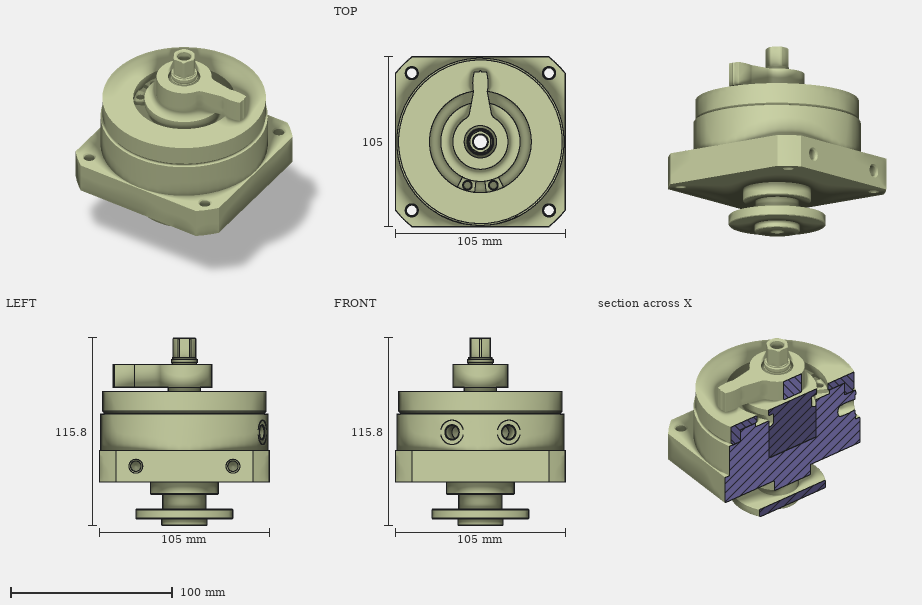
import cadquery as cq
import math


PLATE_SIDE = 105.0
PLATE_TOP = 19.6
PLATE_CORNER_DIA = 134.8
MOUNT_HOLE_PITCH = 84.8
MOUNT_HOLE_DIA = 6.6
MOUNT_COUNTERSINK_DIA = 8.1
SIDE_HOLE_PITCH = 60.0
SIDE_HOLE_DIA = 6.5
SIDE_COUNTERSINK_DIA = 8.6
SIDE_HOLE_DEPTH = 11.6
BOSS_DIA = 42.0
BOSS_HEIGHT = 7.6
EDGE_CHAMFER = 0.5

DRUM_DIA = 103.4
DRUM_TOP = 41.9
COLLAR_DIA = 86.8
COLLAR_TOP = 50.8
POCKET_DIA = 64.8
POCKET_FLOOR = 47.9
PORT_Z = 30.7
PORT_ANGLE = 20.0
PORT_DIA = 8.6
PORT_COUNTERSINK_DIA = 9.5
PORT_DEPTH = 11.6
SPOTFACE_DIA = 15.0
SPOTFACE_FLAT = 51.2
DRILL_POINT_ANGLE = 118.0

BLOCK_START_ANGLE = 6.5
BLOCK_END_ANGLE = 27.0
SCREW_CIRCLE_DIA = 56.0
SCREW_ANGLE = 16.6
SCREW_HOLE_DIA = 4.9
SCREW_COUNTERSINK_DIA = 5.9
SCREW_HOLE_DEPTH = 4.6

RING_DIA = 101.1
RING_BORE_DIA = 63.0
RING_NECK_DIA = 98.9
RING_NECK_TOP = 42.7
RING_TOP = 56.0
RING_CHAMFER_SHARE = 0.9

SHAFT_LENGTH = 115.8
SHAFT_BOTTOM = -26.9
SHAFT_TOP = SHAFT_BOTTOM + SHAFT_LENGTH
FLANGE_BOTTOM = -22.7
FLANGE_TOP = -16.7
SPIGOT_DIA = 28.0
FLANGE_DIA = 60.0
OUTPUT_DIA = 27.0
SHOULDER_DIA = 47.5
SHOULDER_TOP = 43.2
HUB_DIA = 43.0
HUB_FILLET = 1.9
DISC_DIA = 49.0
DISC_BOTTOM = 51.5
JOURNAL_DIA = 20.0
CONE_TOP_DIA = 16.5
CONE_TOP = 71.9
CONE_RIM_TOP = 72.5
NECK_DIA = 15.2
BAND_DIA = 16.0
BAND_BOTTOM = 73.8
BAND_TOP = 75.6
HEX_BOTTOM = 76.8
HEX_CORNER_DIA = 14.1
HEX_BASE_DIA = 14.5
HEX_FLATS = 12.7
HEX_CHAMFER = 0.5
HEX_BASE_FLARE = 0.5
BORE_DIA = 8.6
BORE_COUNTERSINK_DIA = 9.7

LEVER_BOTTOM = 58.5
LEVER_TOP = 72.7
LEVER_HUB_DIA = 34.0
ARM_END_Y = 43.2
ARM_CORNER = 0.6
POINTER_Y = 44.0
POINTER_HALF_WIDTH = 0.8
END_HALF_WIDTH = 3.9
GRIP_HALF_WIDTH = 4.7
GRIP_MIDDLE_Y = 36.6
WAIST_Y = 30.8
WAIST_HALF_WIDTH = 4.3
ROOT_HALF_WIDTH = 7.2
ROOT_Y = 15.3
ROOT_FILLET = 4.6


def cylinder(diameter, bottom, top):
    """Cylinder on the Z axis between two heights."""
    return cq.Workplane("XY").workplane(offset=bottom).circle(diameter / 2).extrude(top - bottom)


def cone_45(bottom_diameter, top_diameter, top):
    """Cone with 45 degree sides on the Z axis, narrowing upwards to the given height."""
    height = (bottom_diameter - top_diameter) / 2
    base = cq.Vector(0, 0, top - height)
    return cq.Workplane(obj=cq.Solid.makeCone(bottom_diameter / 2, top_diameter / 2, height, base))


def drill(position, direction, diameter, countersink, depth, point_angle=180.0):
    """Countersunk blind-hole cutter; a point angle of 180 degrees leaves a flat bottom."""
    radius = diameter / 2
    sink = countersink / 2
    profile = [(0, 0), (sink, 0), (radius, sink - radius), (radius, depth)]
    tip = radius / math.tan(math.radians(point_angle / 2))
    if point_angle < 180:
        profile.append((0, depth + tip))
    else:
        profile.append((0, depth))
    cutter = cq.Workplane("XZ").polyline(profile).close().revolve(360, (0, 0), (0, 1))
    plane = cq.Plane(origin=position, normal=direction)
    return cq.Workplane(obj=cutter.val().located(cq.Location(plane)))


def polar(radius, angle_from_front):
    """X and Y of a point at an angle from -Y, positive towards +X."""
    angle = math.radians(angle_from_front)
    return radius * math.sin(angle), -radius * math.cos(angle)


def base_plate():
    plate = cq.Workplane("XY").rect(PLATE_SIDE, PLATE_SIDE).extrude(PLATE_TOP)
    plate = plate.intersect(cylinder(PLATE_CORNER_DIA, 0, PLATE_TOP))
    boss = cylinder(BOSS_DIA, -BOSS_HEIGHT, 0).faces("<Z").chamfer(EDGE_CHAMFER)
    return plate.union(boss)


def mount_holes():
    offset = MOUNT_HOLE_PITCH / 2
    positions = [(x, y, PLATE_TOP) for x in (-offset, offset) for y in (-offset, offset)]
    return [
        drill(position, (0, 0, -1), MOUNT_HOLE_DIA, MOUNT_COUNTERSINK_DIA, PLATE_TOP)
        for position in positions
    ]


def side_hole(side):
    """Blind hole in the -X face of the plate."""
    position = (-PLATE_SIDE / 2, side * SIDE_HOLE_PITCH / 2, PLATE_TOP / 2)
    return drill(
        position, (1, 0, 0), SIDE_HOLE_DIA, SIDE_COUNTERSINK_DIA, SIDE_HOLE_DEPTH, DRILL_POINT_ANGLE
    )


def port(side):
    """Radial port hole with a flat spotface around its mouth."""
    x, y = polar(SPOTFACE_FLAT, side * PORT_ANGLE)
    mouth = (x, y, PORT_Z)
    spotface = cq.Workplane(cq.Plane(origin=mouth, normal=(x, y, 0)))
    spotface = spotface.circle(SPOTFACE_DIA / 2).extrude(DRUM_DIA / 2)
    hole = drill(mouth, (-x, -y, 0), PORT_DIA, PORT_COUNTERSINK_DIA, PORT_DEPTH, DRILL_POINT_ANGLE)
    return spotface.union(hole)


def screw_hole(side):
    x, y = polar(SCREW_CIRCLE_DIA / 2, side * SCREW_ANGLE)
    return drill((x, y, COLLAR_TOP), (0, 0, -1), SCREW_HOLE_DIA, SCREW_COUNTERSINK_DIA, SCREW_HOLE_DEPTH)


def stop_sector(side):
    """Wedge from the axis past the pocket wall, between the two end faces of a stop block."""
    wedge = cq.Workplane("XY").workplane(offset=POCKET_FLOOR).moveTo(0, 0)
    wedge = wedge.lineTo(*polar(POCKET_DIA, side * BLOCK_START_ANGLE))
    wedge = wedge.lineTo(*polar(POCKET_DIA, side * BLOCK_END_ANGLE)).close()
    return wedge.extrude(COLLAR_TOP - POCKET_FLOOR)


def pocket():
    """Round pocket that leaves the two stop blocks standing."""
    space = cylinder(POCKET_DIA, POCKET_FLOOR, COLLAR_TOP)
    for side in (-1, 1):
        space = space.cut(stop_sector(side))
    return space.union(cylinder(SHOULDER_DIA, PLATE_TOP, COLLAR_TOP))


def make_housing():
    housing = base_plate()
    housing = housing.union(cylinder(DRUM_DIA, PLATE_TOP, DRUM_TOP))
    housing = housing.union(cylinder(COLLAR_DIA, DRUM_TOP, COLLAR_TOP))
    housing = housing.cut(pocket()).cut(cylinder(OUTPUT_DIA, -BOSS_HEIGHT, PLATE_TOP))
    for hole in mount_holes():
        housing = housing.cut(hole)
    for side in (-1, 1):
        housing = housing.cut(screw_hole(side)).cut(side_hole(side)).cut(port(side))
    return housing


def make_cover_ring():
    neck_step = (RING_DIA - RING_NECK_DIA) / 2
    rim = cylinder(RING_DIA, RING_NECK_TOP, RING_TOP).faces("<Z").chamfer(RING_CHAMFER_SHARE * neck_step)
    ring = cylinder(RING_NECK_DIA, DRUM_TOP, RING_TOP).union(rim)
    ring = ring.cut(cylinder(COLLAR_DIA, DRUM_TOP, COLLAR_TOP))
    return ring.cut(cylinder(RING_BORE_DIA, COLLAR_TOP, RING_TOP))


def hexagon_end():
    """Hexagon with flats facing X and its corners turned down."""
    height = SHAFT_TOP - HEX_BOTTOM
    across_corners = HEX_FLATS / math.cos(math.radians(30))
    prism = cq.Workplane("XY").workplane(offset=HEX_BOTTOM)
    prism = prism.transformed(rotate=(0, 0, 30)).polygon(6, across_corners).extrude(height)
    envelope = cylinder(HEX_CORNER_DIA, HEX_BOTTOM, SHAFT_TOP).faces(">Z").chamfer(HEX_CHAMFER)
    return prism.intersect(envelope)


def shaft_hub():
    """Shoulder and hub with a hollow fillet between them."""
    shoulder = cylinder(SHOULDER_DIA, PLATE_TOP, SHOULDER_TOP)
    hub = shoulder.union(cylinder(HUB_DIA, SHOULDER_TOP, DISC_BOTTOM))
    return hub.edges(cq.selectors.RadiusNthSelector(0)).edges("<Z").fillet(HUB_FILLET)


def make_shaft():
    flange = cylinder(FLANGE_DIA, FLANGE_BOTTOM, FLANGE_TOP).edges().chamfer(EDGE_CHAMFER)
    spigot = cylinder(SPIGOT_DIA, SHAFT_BOTTOM, FLANGE_BOTTOM).faces("<Z").chamfer(EDGE_CHAMFER)
    cone_height = (JOURNAL_DIA - CONE_TOP_DIA) / 2
    flare_top = BAND_TOP + HEX_BASE_FLARE
    sections = [
        spigot,
        cylinder(OUTPUT_DIA, FLANGE_TOP, PLATE_TOP),
        shaft_hub(),
        cylinder(DISC_DIA, DISC_BOTTOM, RING_TOP),
        cylinder(JOURNAL_DIA, RING_TOP, CONE_TOP - cone_height),
        cone_45(JOURNAL_DIA, CONE_TOP_DIA, CONE_TOP),
        cylinder(CONE_TOP_DIA, CONE_TOP, CONE_RIM_TOP),
        cylinder(NECK_DIA, CONE_RIM_TOP, BAND_BOTTOM),
        cylinder(BAND_DIA, BAND_BOTTOM, BAND_TOP),
        cone_45(HEX_BASE_DIA + 2 * HEX_BASE_FLARE, HEX_BASE_DIA, flare_top),
        cylinder(HEX_BASE_DIA, flare_top, HEX_BOTTOM),
        hexagon_end(),
    ]
    shaft = flange
    for section in sections:
        shaft = shaft.union(section)
    return shaft.cut(
        drill((0, 0, SHAFT_TOP), (0, 0, -1), BORE_DIA, BORE_COUNTERSINK_DIA, SHAFT_LENGTH)
    )


def make_lever():
    height = LEVER_TOP - LEVER_BOTTOM
    arm = (
        cq.Workplane("XY").workplane(offset=LEVER_BOTTOM)
        .moveTo(0, 0)
        .lineTo(ROOT_HALF_WIDTH, ROOT_Y)
        .lineTo(WAIST_HALF_WIDTH, WAIST_Y)
        .threePointArc((GRIP_HALF_WIDTH, GRIP_MIDDLE_Y), (END_HALF_WIDTH, ARM_END_Y - ARM_CORNER))
        .lineTo(END_HALF_WIDTH - ARM_CORNER / 2, ARM_END_Y)
        .lineTo(POINTER_HALF_WIDTH, ARM_END_Y)
        .lineTo(0, POINTER_Y)
        .lineTo(0, 0).close()
        .extrude(height)
    )
    arm = arm.union(arm.mirror("YZ"))
    lever = cylinder(LEVER_HUB_DIA, LEVER_BOTTOM, LEVER_TOP).union(arm)
    root_box = cq.selectors.BoxSelector(
        (-LEVER_HUB_DIA / 2, ROOT_Y - 1.2, LEVER_BOTTOM), (LEVER_HUB_DIA / 2, ROOT_Y + 1.2, LEVER_TOP)
    )
    lever = lever.edges("|Z").edges(root_box).fillet(ROOT_FILLET)
    return lever.cut(cylinder(JOURNAL_DIA, LEVER_BOTTOM, LEVER_TOP))


housing = make_housing()
cover_ring = make_cover_ring()
shaft = make_shaft()
lever = make_lever()

bodies = (housing, cover_ring, shaft, lever)
result = cq.Compound.makeCompound([body.solids().val() for body in bodies])